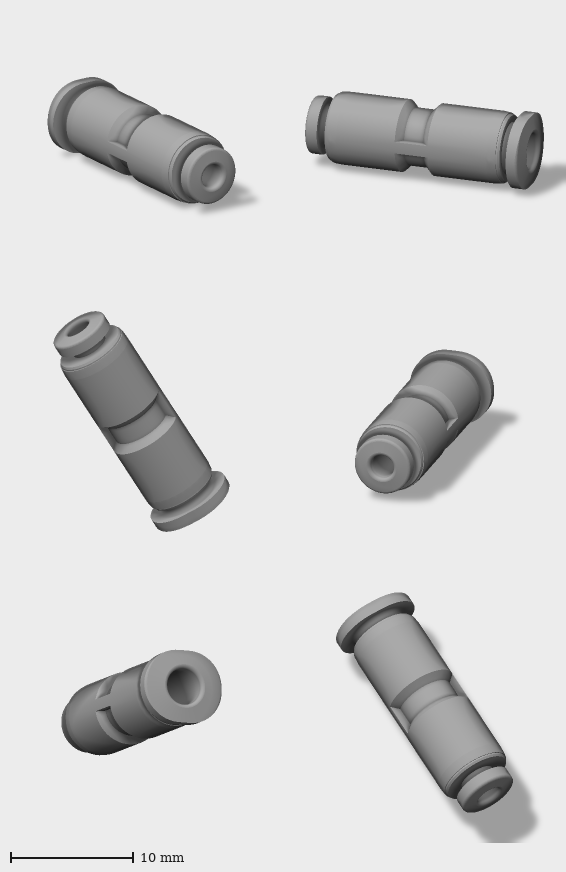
import cadquery as cq

length = 19.1
body_dia = 6.0
body_radius = body_dia / 2

body_start = 1.99
body_end = 17.1
collar_dia = 5.7
collar_length = 0.29
collar_chamfer_length = 0.17
collar_chamfer_depth = 0.1
crown_length = 0.8
crown_drop = 0.08

waist_dia = 4.8
waist_start = 8.14
waist_end = 10.96
web_thickness = 1.0

large_flange_width = 7.0
large_flange_end = 1.18
large_neck_dia = 4.4
large_mouth_dia = 3.63
large_tube_dia = 3.0

small_flange_dia = 4.8
small_flange_start = 17.9
small_neck_dia = 3.0
small_mouth_dia = 2.58
small_tube_dia = 2.0

face_slope = 0.16
rim_round = 0.23
neck_fillet = 0.38

tube_depth = 7.64
passage_dia = 1.1


def revolve_about_x(profile):
    """Turn a profile of (x, radius) coordinates about the X axis."""
    return profile.close().revolve(360, (0, 0, 0), (1, 0, 0))


def button(flange_radius, flange_back, neck_radius, neck_end, mouth_radius):
    """Solid button with its outer face at X = 0 and its neck reaching neck_end."""
    corner_x = (flange_radius - mouth_radius) * face_slope
    blank = revolve_about_x(
        cq.Workplane("XY")
        .lineTo(0, mouth_radius)
        .lineTo(corner_x, flange_radius)
        .lineTo(flange_back, flange_radius)
        .lineTo(flange_back, neck_radius + neck_fillet)
        .radiusArc((flange_back + neck_fillet, neck_radius), -neck_fillet)
        .lineTo(neck_end, neck_radius)
        .lineTo(neck_end, 0)
    )
    margin = 0.02
    reach = flange_radius + margin
    rim = cq.selectors.BoxSelector(
        (corner_x - margin, -reach, -reach),
        (corner_x + margin, reach, reach),
    )
    return blank.edges(rim).fillet(rim_round)


def tube_socket(tube_radius, mouth_radius):
    """Blind tube bore from X = 0, with a rounded mouth."""
    mouth_round = mouth_radius - tube_radius
    return revolve_about_x(
        cq.Workplane("XY")
        .lineTo(0, mouth_radius)
        .radiusArc((mouth_round, tube_radius), -mouth_round)
        .lineTo(tube_depth, tube_radius)
        .lineTo(tube_depth, 0)
    )


def at_far_end(shape):
    """Turn a shape built from X = 0 around to the +X end."""
    return shape.rotate((0, 0, 0), (0, 0, 1), 180).translate((length, 0, 0))


def make_body():
    collar_radius = collar_dia / 2
    tip_radius = collar_radius - collar_chamfer_depth
    shell_start = body_start + collar_length
    shell_end = body_end - collar_length
    shell_end_radius = body_radius - crown_drop
    crown_radius = (crown_length**2 + crown_drop**2) / (2 * crown_drop)
    return revolve_about_x(
        cq.Workplane("XY")
        .moveTo(body_start, 0)
        .lineTo(body_start, tip_radius)
        .lineTo(body_start + collar_chamfer_length, collar_radius)
        .lineTo(shell_start, collar_radius)
        .lineTo(shell_start, shell_end_radius)
        .radiusArc((shell_start + crown_length, body_radius), crown_radius)
        .lineTo(shell_end - crown_length, body_radius)
        .radiusArc((shell_end, shell_end_radius), crown_radius)
        .lineTo(shell_end, collar_radius)
        .lineTo(body_end - collar_chamfer_length, collar_radius)
        .lineTo(body_end, tip_radius)
        .lineTo(body_end, 0)
    )


def waist_cut():
    """Ring groove with 45 degree walls, interrupted by the web on both sides."""
    waist_radius = waist_dia / 2
    wall_run = body_radius - waist_radius
    overshoot = 0.2
    ring = revolve_about_x(
        cq.Workplane("XY")
        .moveTo(waist_start - overshoot, body_radius + overshoot)
        .lineTo(waist_start + wall_run, waist_radius)
        .lineTo(waist_end - wall_run, waist_radius)
        .lineTo(waist_end + overshoot, body_radius + overshoot)
    )
    web = cq.Workplane("XY").box(2 * length, 2 * body_dia, web_thickness)
    return ring.cut(web)


def large_button():
    button_blank = button(
        large_flange_width / 2, large_flange_end, large_neck_dia / 2, body_start, large_mouth_dia / 2
    )
    oval = cq.Workplane("YZ").slot2D(large_flange_width, body_dia).extrude(body_start)
    return button_blank.intersect(oval)


def small_button():
    return at_far_end(
        button(
            small_flange_dia / 2,
            length - small_flange_start,
            small_neck_dia / 2,
            length - body_end,
            small_mouth_dia / 2,
        )
    )


result = make_body().cut(waist_cut()).union(large_button()).union(small_button())
result = result.cut(tube_socket(large_tube_dia / 2, large_mouth_dia / 2))
result = result.cut(at_far_end(tube_socket(small_tube_dia / 2, small_mouth_dia / 2)))
result = result.cut(cq.Workplane("YZ").circle(passage_dia / 2).extrude(length))